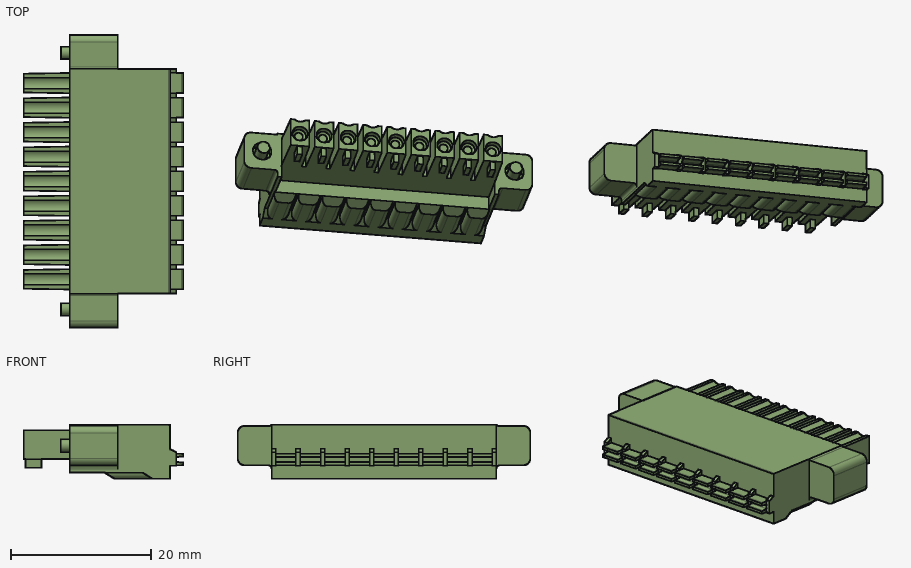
import cadquery as cq


POLES = 9
ROW_SPAN = 28.0
PITCH = ROW_SPAN / (POLES - 1)
pole_centres = [(i - (POLES - 1) / 2) * PITCH for i in range(POLES)]

BODY_LENGTH = 14.35
BODY_WIDTH = 32.1
BODY_BOTTOM = -6.85
BLOCK_BOTTOM = -7.75
EDGE_BEVEL_LENGTH = 0.3
EDGE_BEVEL_DROP = 0.05

RIB_START = 4.97
BLOCK_START = 10.4
SLOPE_RUN = 1.42
RIB_WIDTH = 3.18
RIB_RADIUS = BODY_BOTTOM - BLOCK_BOTTOM

FLANGE_LENGTH = 6.9
FLANGE_WIDTH = 41.8
FLANGE_TOP = -0.15
FLANGE_BOTTOM = -5.8
FLANGE_RADIUS = 1.0
TOP_ROOT_RADIUS = 0.25
BOTTOM_ROOT_RADIUS = 0.5

SCREW_SPACING = 36.6
SCREW_Z = -3.0
SCREW_DIAMETER = 1.8
SCREW_HOLE_DIAMETER = 2.68
SCREW_HOLE_DEPTH = 1.25
SCREW_LENGTH = 1.25

PLUG_LENGTH = 6.55
PLUG_TOP = -0.8
PLUG_BOTTOM = -4.95
PLUG_TIP_WIDTH = 2.7
PLUG_ROOT_WIDTH = 2.93
GROOVE_WIDTH = 1.6
GROOVE_DEPTH = 0.3

HOLE_Z = -3.0
HOLE_MOUTH_DIAMETER = 2.2
HOLE_NECK_DIAMETER = 1.95
HOLE_END_DIAMETER = 1.2
HOLE_NECK_DEPTH = 0.75
HOLE_DEPTH = 1.0

FOOT_WIDTH = 0.75
FOOT_LENGTH = 2.3
FOOT_SETBACK = 0.25
FOOT_BOTTOM = -6.2

NOSE_END = 15.2
NOSE_TOP = -3.45
NOSE_END_TOP = -3.95
NOSE_BOTTOM = -5.9
MOUTH_LENGTH = 1.9
MOUTH_END = BODY_LENGTH + MOUTH_LENGTH
MOUTH_WIDTH = 2.9
MOUTH_TOP = -4.15
MOUTH_BOTTOM = -5.8
LIP_ROOT_THICKNESS = 0.55
LIP_TIP_THICKNESS = 0.4
LIP_TAPER_END = 15.85

OVERLAP = 0.2


def box(x0, x1, y_centre, width, z0, z1):
    """Box between two X and two Z levels, centred on y_centre."""
    return cq.Workplane("XY").box(x1 - x0, width, z1 - z0, centered=(False, True, False)).translate(
        (x0, y_centre, z0)
    )


def along_row(outline, y_centre, width):
    """Extrude an XZ outline along Y, centred on y_centre."""
    prism = cq.Workplane("XZ").polyline(outline).close().extrude(width / 2, both=True)
    return prism.translate((0, y_centre, 0))


def cylinder(x0, x1, y, z, diameter):
    """Cylinder along X."""
    return cq.Workplane("YZ", origin=(x0, y, z)).circle(diameter / 2).extrude(x1 - x0)


def make_body():
    outline = [
        (0, 0),
        (BODY_LENGTH - EDGE_BEVEL_LENGTH, 0),
        (BODY_LENGTH, -EDGE_BEVEL_DROP),
        (BODY_LENGTH, BLOCK_BOTTOM),
        (BLOCK_START + SLOPE_RUN, BLOCK_BOTTOM),
        (BLOCK_START, BODY_BOTTOM),
        (0, BODY_BOTTOM),
    ]
    body = along_row(outline, 0, BODY_WIDTH)
    cavity_width = ROW_SPAN + PLUG_ROOT_WIDTH
    return body.cut(box(0, RIB_START, 0, cavity_width, BODY_BOTTOM, PLUG_BOTTOM))


def make_rib(y):
    """Rib with rounded lower edges and a sloped front end."""
    rib = box(RIB_START, BLOCK_START + SLOPE_RUN, y, RIB_WIDTH, BLOCK_BOTTOM, BODY_BOTTOM + OVERLAP)
    rib = rib.edges("|X and <Z").fillet(RIB_RADIUS)
    front_wedge = [
        (RIB_START, BODY_BOTTOM),
        (RIB_START, BLOCK_BOTTOM),
        (RIB_START + SLOPE_RUN, BLOCK_BOTTOM),
    ]
    return rib.cut(along_row(front_wedge, y, RIB_WIDTH))


def root_fillet(side, flange_z, direction, radius):
    """Concave fillet between a flange face and the housing side."""
    wall = side * BODY_WIDTH / 2
    y_centre = wall + side * radius / 2
    reach = direction * radius
    z0, z1 = sorted((flange_z, flange_z + reach))
    corner = box(0, FLANGE_LENGTH, y_centre, radius, z0, z1)
    return corner.cut(cylinder(0, FLANGE_LENGTH, wall + side * radius, flange_z + reach, 2 * radius))


def make_flanges():
    flanges = box(0, FLANGE_LENGTH, 0, FLANGE_WIDTH, FLANGE_BOTTOM, FLANGE_TOP)
    flanges = flanges.edges("|X").fillet(FLANGE_RADIUS)
    for side in (-1, 1):
        flanges = flanges.union(root_fillet(side, FLANGE_TOP, 1, TOP_ROOT_RADIUS))
        flanges = flanges.union(root_fillet(side, FLANGE_BOTTOM, -1, BOTTOM_ROOT_RADIUS))
    inner_width = BODY_WIDTH - 2 * OVERLAP
    flanges = flanges.cut(box(0, FLANGE_LENGTH, 0, inner_width, BLOCK_BOTTOM, 0))
    return flanges.intersect(box(0, FLANGE_LENGTH, 0, FLANGE_WIDTH, BLOCK_BOTTOM, 0))


def make_plug(y):
    """Plug tapering towards its tip, with a shallow groove along the top."""
    plug = (
        cq.Workplane("XY", origin=(0, y, PLUG_BOTTOM))
        .polyline(
            [
                (-PLUG_LENGTH, -PLUG_TIP_WIDTH / 2),
                (0, -PLUG_ROOT_WIDTH / 2),
                (OVERLAP, -PLUG_ROOT_WIDTH / 2),
                (OVERLAP, PLUG_ROOT_WIDTH / 2),
                (0, PLUG_ROOT_WIDTH / 2),
                (-PLUG_LENGTH, PLUG_TIP_WIDTH / 2),
            ]
        )
        .close()
        .extrude(PLUG_TOP - PLUG_BOTTOM)
    )
    groove = (
        cq.Workplane("YZ", origin=(-PLUG_LENGTH, y, PLUG_TOP))
        .moveTo(-GROOVE_WIDTH / 2, 0)
        .threePointArc((0, -GROOVE_DEPTH), (GROOVE_WIDTH / 2, 0))
        .close()
        .extrude(PLUG_LENGTH)
    )
    foot_start = -PLUG_LENGTH + FOOT_SETBACK
    foot = box(foot_start, foot_start + FOOT_LENGTH, y, FOOT_WIDTH, FOOT_BOTTOM, PLUG_BOTTOM + OVERLAP)
    return plug.cut(groove).union(foot).cut(make_contact_hole(y))


def make_contact_hole(y):
    """Slightly tapered hole ending in a shallow cone with a flat floor."""
    return (
        cq.Workplane("XY")
        .polyline(
            [
                (0, 0),
                (0, HOLE_MOUTH_DIAMETER / 2),
                (HOLE_NECK_DEPTH, HOLE_NECK_DIAMETER / 2),
                (HOLE_DEPTH, HOLE_END_DIAMETER / 2),
                (HOLE_DEPTH, 0),
            ]
        )
        .close()
        .revolve(360, (0, 0, 0), (1, 0, 0))
        .translate((-PLUG_LENGTH, y, HOLE_Z))
    )


def make_nose():
    """Sloped nose on the rear face, cut away at every clamp mouth."""
    outline = [
        (BODY_LENGTH - OVERLAP, NOSE_BOTTOM),
        (BODY_LENGTH - OVERLAP, NOSE_TOP),
        (BODY_LENGTH, NOSE_TOP),
        (NOSE_END, NOSE_END_TOP),
        (NOSE_END, NOSE_BOTTOM),
    ]
    nose = along_row(outline, 0, BODY_WIDTH)
    for y in pole_centres:
        nose = nose.cut(box(BODY_LENGTH, NOSE_END, y, MOUTH_WIDTH, NOSE_BOTTOM, NOSE_TOP))
    return nose


def make_lip(y, outer_z, inward):
    """Lip of a clamp mouth; inward is the Z direction towards the opening."""
    outline = [
        (BODY_LENGTH - OVERLAP, outer_z),
        (MOUTH_END - EDGE_BEVEL_LENGTH, outer_z),
        (MOUTH_END, outer_z + inward * EDGE_BEVEL_DROP),
        (MOUTH_END, outer_z + inward * LIP_TIP_THICKNESS),
        (LIP_TAPER_END, outer_z + inward * LIP_TIP_THICKNESS),
        (NOSE_END, outer_z + inward * LIP_ROOT_THICKNESS),
        (BODY_LENGTH - OVERLAP, outer_z + inward * LIP_ROOT_THICKNESS),
    ]
    return along_row(outline, y, MOUTH_WIDTH)


result = make_body().union(make_flanges()).union(make_nose())

for y in pole_centres:
    result = result.union(make_rib(y)).union(make_plug(y))
    result = result.union(make_lip(y, MOUTH_TOP, -1)).union(make_lip(y, MOUTH_BOTTOM, 1))

for y in (-SCREW_SPACING / 2, SCREW_SPACING / 2):
    result = result.cut(cylinder(0, SCREW_HOLE_DEPTH, y, SCREW_Z, SCREW_HOLE_DIAMETER))
    result = result.union(
        cylinder(-SCREW_LENGTH, SCREW_HOLE_DEPTH + OVERLAP, y, SCREW_Z, SCREW_DIAMETER)
    )